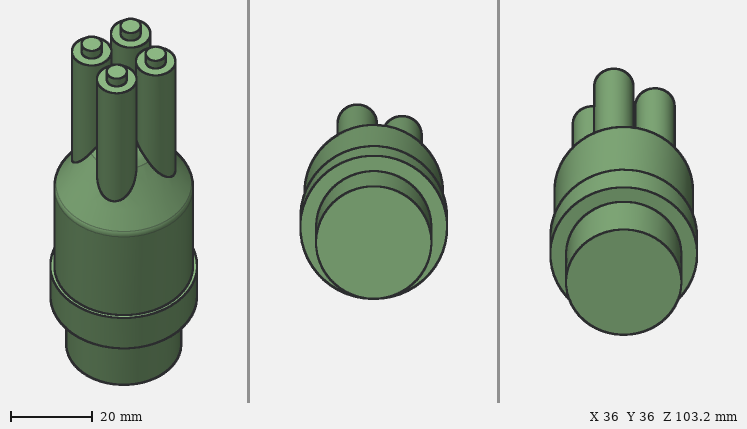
import cadquery as cq
import math

total_height = 103.2
spigot_radius = 14.1
spigot_height = 16.7
flange_diameter = 36.0
flange_top = 27.3
body_radius = 17.0
shoulder_start = 54.7
shoulder_radius = 3.0
cone_half_angle = math.radians(30)
dome_radius = 10.0
wire_diameter = 9.7
wire_pitch = 11.4
core_diameter = 5.0
core_length = 2.7


def point_on_arc(center, radius, angle):
    """Point in the radial plane at an elevation angle around an arc center."""
    return (center[0] + radius * math.cos(angle), center[1] + radius * math.sin(angle))


def make_housing():
    """Revolve the spigot, flange, body, cone and domed tip as one profile."""
    shoulder_center = (body_radius - shoulder_radius, shoulder_start)
    shoulder_mid = point_on_arc(shoulder_center, shoulder_radius, cone_half_angle / 2)
    cone_base = point_on_arc(shoulder_center, shoulder_radius, cone_half_angle)

    cone_top_radius = dome_radius * math.cos(cone_half_angle)
    cone_height = (cone_base[0] - cone_top_radius) / math.tan(cone_half_angle)
    cone_top = (cone_top_radius, cone_base[1] + cone_height)
    dome_center = (0, cone_top[1] - dome_radius * math.sin(cone_half_angle))
    dome_mid = point_on_arc(dome_center, dome_radius, (cone_half_angle + math.pi / 2) / 2)
    dome_tip = (0, dome_center[1] + dome_radius)

    return (
        cq.Workplane("XZ")
        .moveTo(0, 0)
        .lineTo(spigot_radius, 0)
        .lineTo(spigot_radius, spigot_height)
        .lineTo(flange_diameter / 2, spigot_height)
        .lineTo(flange_diameter / 2, flange_top)
        .lineTo(body_radius, flange_top)
        .lineTo(body_radius, shoulder_start)
        .threePointArc(shoulder_mid, cone_base)
        .lineTo(*cone_top)
        .threePointArc(dome_mid, dome_tip)
        .close()
        .revolve(360, (0, 0, 0), (0, 1, 0))
    )


def make_wire_rods(diameter, top):
    """Four upright rods in a square, rooted inside the housing."""
    return (
        cq.Workplane("XY")
        .workplane(offset=shoulder_start)
        .rarray(wire_pitch, wire_pitch, 2, 2)
        .circle(diameter / 2)
        .extrude(top - shoulder_start)
    )


insulation = make_wire_rods(wire_diameter, total_height - core_length)
cores = make_wire_rods(core_diameter, total_height)

result = make_housing().union(insulation).union(cores)